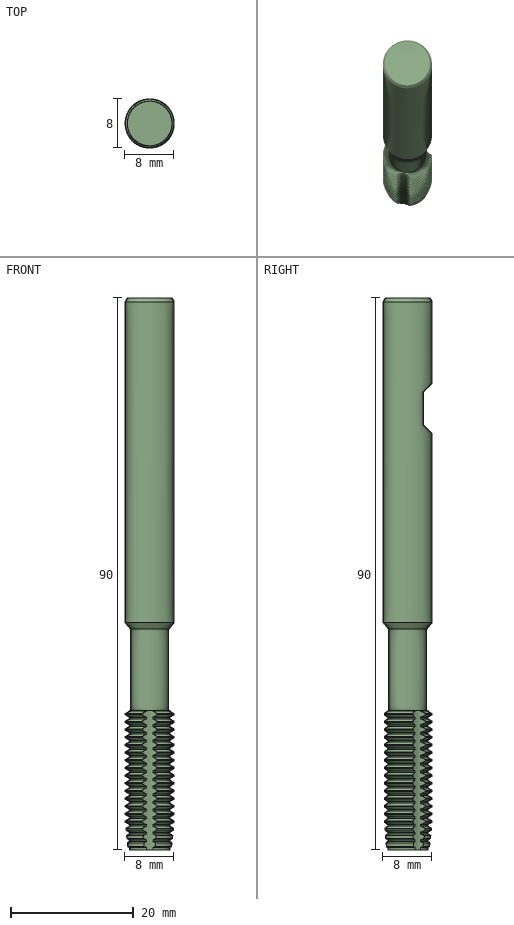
import cadquery as cq
import math


length = 90.0
shank_diameter = 8.0

neck_diameter = 6.2
top_chamfer_radial = 0.4
top_chamfer_height = 0.6
shank_bottom = 37.1
neck_top = 36.0

flat_depth = 1.4
flat_top = 74.7
flat_length = 5.4

thread_length = 22.8
ring_count = 18
ringed_length = 22.5
pitch = ringed_length / ring_count
root_diameter = 6.6
crest_width = pitch / 8
root_width = pitch / 5

tip_diameter = 7.0
taper_length = 4.5

flute_count = 3
first_flute_angle = -90.0
flute_radius = 1.4
flute_centre_distance = 4.6

shank_radius = shank_diameter / 2
neck_radius = neck_diameter / 2
crest_radius = shank_radius
root_radius = root_diameter / 2
tip_radius = tip_diameter / 2


def revolve_about_z(outline):
    """Revolve a closed (radius, height) outline around the Z axis."""
    return cq.Workplane("XZ").polyline(outline).close().revolve(360, (0, 0), (0, 1))


def flat_cutter():
    """Trapezoidal prism that leaves a driving flat with sloping ends."""
    floor_y = shank_radius - flat_depth
    flat_bottom = flat_top - flat_length
    outline = [
        (floor_y, flat_bottom),
        (floor_y, flat_top),
        (shank_radius, flat_top + flat_depth),
        (shank_radius, flat_bottom - flat_depth),
    ]
    return cq.Workplane("YZ").polyline(outline).close().extrude(shank_radius, both=True)


def make_shank():
    """Shank with a chamfered top, a driving flat and a thinner neck."""
    outline = [
        (0, thread_length),
        (neck_radius, thread_length),
        (neck_radius, neck_top),
        (shank_radius, shank_bottom),
        (shank_radius, length - top_chamfer_height),
        (shank_radius - top_chamfer_radial, length),
        (0, length),
    ]
    return revolve_about_z(outline).cut(flat_cutter())


def ringed_blank():
    """Round blank with one trapezoidal ring per pitch, counted down from its top."""
    root_offset = (pitch - root_width) / 2
    crest_offset = crest_width / 2
    outline = [(0, thread_length), (root_radius, thread_length)]
    for ring in range(ring_count):
        crest_z = thread_length - (ring + 0.5) * pitch
        outline += [
            (root_radius, crest_z + root_offset),
            (crest_radius, crest_z + crest_offset),
            (crest_radius, crest_z - crest_offset),
            (root_radius, crest_z - root_offset),
        ]
    outline += [(root_radius, 0), (0, 0)]
    return revolve_about_z(outline)


def taper_envelope():
    """Cylinder with a conical lead, which trims the lowest rings."""
    outline = [
        (0, 0),
        (tip_radius, 0),
        (crest_radius, taper_length),
        (crest_radius, thread_length),
        (0, thread_length),
    ]
    return revolve_about_z(outline)


def flute_cutter(angle):
    """Round-bottomed straight flute along the whole thread at an angle from +X."""
    x = flute_centre_distance * math.cos(math.radians(angle))
    y = flute_centre_distance * math.sin(math.radians(angle))
    return cq.Workplane("XY").center(x, y).circle(flute_radius).extrude(thread_length)


def make_thread():
    """Fluted ring thread with a tapered tip."""
    body = ringed_blank().intersect(taper_envelope())
    for flute in range(flute_count):
        angle = first_flute_angle + flute * 360 / flute_count
        body = body.cut(flute_cutter(angle))
    return body


shank = make_shank()
thread = make_thread()

result = cq.Compound.makeCompound([shank.val(), thread.val()])